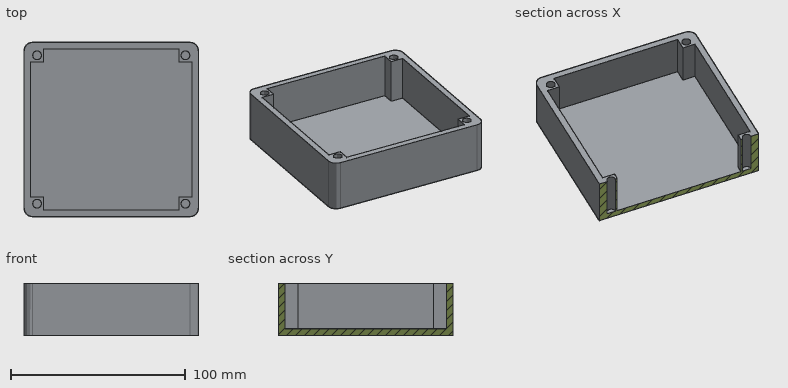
import cadquery as cq

side = 100.0
height = 30.0
corner_radius = 5.0
wall = 3.75
floor = 4.0

cavity_side = side - 2 * wall
cavity_depth = height - floor

post_side = 7.5
hole_diameter = 5.0
post_spacing = cavity_side - post_side


def at_floor():
    """Workplane on the upper face of the floor."""
    return cq.Workplane("XY", origin=(0, 0, floor))


def at_post_centres():
    """Floor workplane with a point at the centre of every post."""
    return at_floor().rect(post_spacing, post_spacing, forConstruction=True).vertices()


def make_shell():
    """Square block with rounded vertical edges, hollowed from the top."""
    block = cq.Workplane("XY").rect(side, side).extrude(height)
    block = block.edges("|Z").fillet(corner_radius)
    cavity = at_floor().rect(cavity_side, cavity_side).extrude(cavity_depth)
    return block.cut(cavity)


def make_posts():
    """Square posts filling the four cavity corners up to the rim."""
    return at_post_centres().rect(post_side, post_side).extrude(cavity_depth)


def make_screw_holes():
    """Blind holes running through the posts from the rim down to the floor."""
    return at_post_centres().circle(hole_diameter / 2).extrude(cavity_depth)


result = make_shell().union(make_posts()).cut(make_screw_holes())